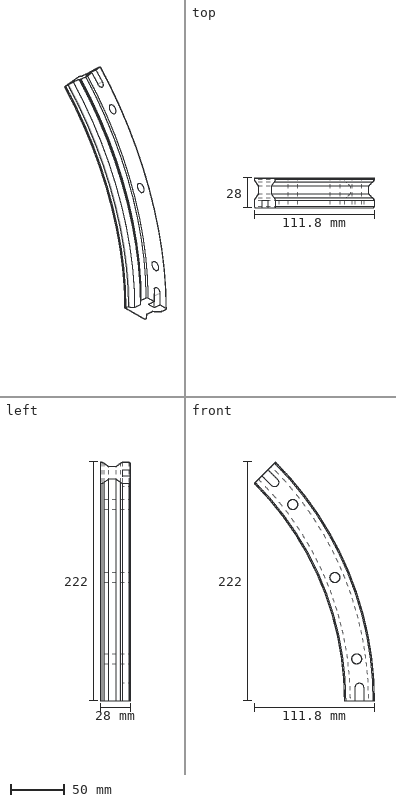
import cadquery as cq
import math

arc_angle = 45.0
arc_height = 222.0
outer_radius = arc_height / math.sin(math.radians(arc_angle))
rail_width = 28.0
rail_depth = 28.0
half_width = rail_width / 2
center_radius = outer_radius - half_width
front_chamfer = 1.3

groove_center = 16.9
groove_depth = 5.5
groove_floor_half = 3.5
groove_ledge_half = 7.0
groove_lip_half = 9.5
ledge_inner_depth = 2.0
ledge_outer_depth = 1.3
ledge_width = 0.5

hole_count = 3
hole_diameter = 9.0

slot_width = 8.0
slot_length = 16.7
slot_depth = 7.3


def side_points(side):
    """Section points from front to back; side is +1 outside, -1 inside."""
    half_groove = [
        (groove_lip_half, 0),
        (groove_ledge_half + ledge_width, ledge_outer_depth),
        (groove_ledge_half, ledge_inner_depth),
        (groove_floor_half, groove_depth),
    ]
    depth_profile = [(0, front_chamfer), (front_chamfer, 0)]
    depth_profile += [(groove_center - offset, depth) for offset, depth in half_groove]
    depth_profile += [(groove_center + offset, depth) for offset, depth in reversed(half_groove)]
    depth_profile.append((rail_depth, 0))
    return [(center_radius + side * (half_width - depth), y) for y, depth in depth_profile]


def along_arc(body, angle):
    """Turn a body from the +X axis up toward +Z."""
    return body.rotate((0, 0, 0), (0, 1, 0), -angle)


def make_rail():
    section = side_points(1) + side_points(-1)[::-1]
    return (
        cq.Workplane("XY")
        .polyline(section)
        .close()
        .revolve(arc_angle, (0, 0, 0), (0, -1, 0))
    )


def make_hole(angle):
    hole = (
        cq.Workplane("XZ")
        .center(center_radius, 0)
        .circle(hole_diameter / 2)
        .extrude(-rail_depth)
    )
    return along_arc(hole, angle)


def make_slot(angle, direction):
    """Round-ended keyway entering an end face; direction is +1 or -1 along the arc."""
    straight = direction * (slot_length - slot_width / 2)
    slot = (
        cq.Workplane("XZ")
        .moveTo(center_radius - slot_width / 2, 0)
        .lineTo(center_radius - slot_width / 2, straight)
        .threePointArc(
            (center_radius, direction * slot_length),
            (center_radius + slot_width / 2, straight),
        )
        .lineTo(center_radius + slot_width / 2, 0)
        .close()
        .extrude(-slot_depth)
    )
    return along_arc(slot, angle)


result = make_rail()

for index in range(hole_count):
    result = result.cut(make_hole(arc_angle * (index + 0.5) / hole_count))

result = result.cut(make_slot(0, 1))
result = result.cut(make_slot(arc_angle, -1))